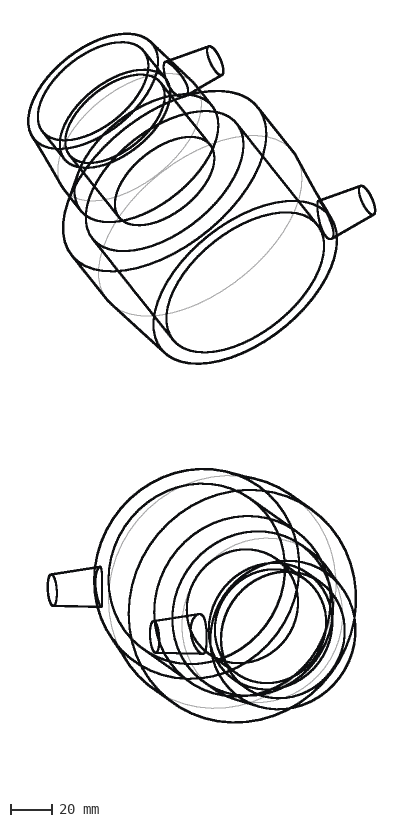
import cadquery as cq


length = 143.0
small_taper_end = 34.3
shoulder_start = 50.2
shoulder_end = 67.2
large_taper_start = 100.7

small_end_dia = 74.1
small_body_dia = 82.0
large_body_dia = 116.0
large_end_dia = 104.7

small_socket_dia = 63.0
small_socket_depth = 20.6
passage_dia = 56.8
large_socket_dia = 90.0
large_socket_depth = length - shoulder_end

post_tip_dia = 15.5
post_root_dia = 20.3
post_length = 28.6
post_inset = 14.2
small_post_tip_y = 61.0
large_post_tip_y = 136.0 - large_body_dia / 2


def make_body():
    """Outer shape: two cylinders joined by a conical shoulder, each tapering towards its open end."""
    return (
        cq.Workplane("XY")
        .moveTo(0, 0)
        .lineTo(0, small_end_dia / 2)
        .lineTo(small_taper_end, small_body_dia / 2)
        .lineTo(shoulder_start, small_body_dia / 2)
        .lineTo(shoulder_end, large_body_dia / 2)
        .lineTo(large_taper_start, large_body_dia / 2)
        .lineTo(length, large_end_dia / 2)
        .lineTo(length, 0)
        .close()
        .revolve(360, (0, 0, 0), (1, 0, 0))
    )


def make_bore(start_x, diameter, depth):
    """Cylinder along +X, used to hollow the body."""
    return cq.Workplane("YZ", origin=(start_x, 0, 0)).circle(diameter / 2).extrude(depth)


def make_post(x, tip_y):
    """Tapered post along +Y, with its root buried in the body wall."""
    root = cq.Vector(x, tip_y - post_length, 0)
    cone = cq.Solid.makeCone(post_root_dia / 2, post_tip_dia / 2, post_length, root, cq.Vector(0, 1, 0))
    return cq.Workplane(obj=cone)


result = make_body()
result = result.cut(make_bore(0, passage_dia, length))
result = result.cut(make_bore(0, small_socket_dia, small_socket_depth))
result = result.cut(make_bore(length - large_socket_depth, large_socket_dia, large_socket_depth))
result = result.union(make_post(post_inset, small_post_tip_y))
result = result.union(make_post(length - post_inset, large_post_tip_y))